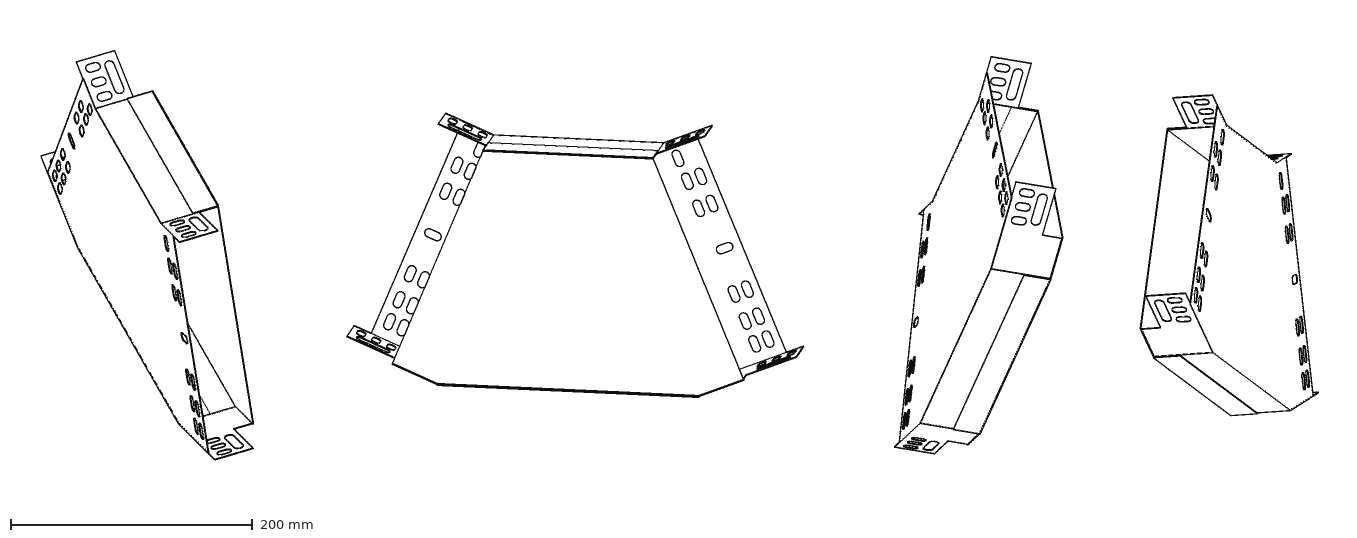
import cadquery as cq
import math

overall_width = 378.2
sheet = 0.8
mouth_tilt = math.radians(22.5)
mouth_length = 201.5
lower_flange = 70.0
upper_flange = 28.5
tab_reach = 15.5
tab_height = 34.5
lid_setback = 29.0
wall_setback = 30.3
depth = 52.0
lid_lip = 23.0

floor_slot_length = 14.5
floor_slot_width = 7.0
row_setbacks = (10.2, 22.5)
slot_offsets = (39.0, 63.5, 84.5)
cross_slot_setback = 14.7

tab_slot_length = 12.5
tab_slot_width = 7.0
tab_slot_start = 8.7
tab_slot_pitch = 13.5
tab_slot_count = 3
tab_slot_height = 11.7
long_slot_length = 30.3
long_slot_width = 8.0
long_slot_height = 25.7

tilt_sin = math.sin(mouth_tilt)
tilt_cos = math.cos(mouth_tilt)
tray_depth = depth - sheet
lower_half = overall_width / 2 - (lower_flange + tab_reach) * tilt_cos
mouth_low = (lower_half + lower_flange * tilt_cos, lower_flange * tilt_sin)
mouth_high = (mouth_low[0] - mouth_length * tilt_sin, mouth_low[1] + mouth_length * tilt_cos)
upper_half = mouth_high[0] - upper_flange * tilt_cos
upper_level = mouth_high[1] - upper_flange * tilt_sin
bend_shift = sheet * math.tan(mouth_tilt / 2)
cutter_depth = 4 * sheet
crosswise = 90


def along_flange(start, distance):
    """Point reached from start by going outward along a slanted wall on the +X side."""
    return (start[0] + distance * tilt_cos, start[1] + distance * tilt_sin)


def mirrored_outline(right_points):
    """Closed outline from its +X half, listed from low to high."""
    return right_points + [(-x, z) for x, z in reversed(right_points)]


def plate(points, y_start, thickness):
    """Extrude an XZ outline toward +Y from y_start."""
    return (
        cq.Workplane("XZ", origin=(0, y_start, 0))
        .polyline(points).close().extrude(-thickness)
    )


def straight_strip(half_width, y_start, height, z_start):
    """Flat strip of sheet spanning both sides of X = 0, rising from y_start toward +Y."""
    strip = cq.Workplane("XY").box(2 * half_width, height, sheet, centered=(True, False, False))
    return strip.translate((0, y_start, z_start))


def mirror_pair(cutter):
    """The cutter together with its mirror image across X = 0."""
    return cutter.union(cutter.mirror("YZ"))


def floor_plate():
    """Six-sided floor reaching the outer faces of both walls."""
    corners = [(lower_half, 0), mouth_low, mouth_high, (upper_half, upper_level)]
    return plate(mirrored_outline(corners), 0, sheet)


def lower_strip(reach, height):
    """Bent strip whose slanted ends run to reach beyond the open ends."""
    tip = along_flange(mouth_low, reach)
    inner_tip = (tip[0] - sheet * tilt_sin, tip[1] + sheet * tilt_cos)
    half = [(lower_half, 0), tip, inner_tip, (lower_half - bend_shift, sheet)]
    return plate(mirrored_outline(half), 0, height)


def lower_wall():
    """Lower wall: full depth under the lid, tab height beyond the ends of the lid."""
    return lower_strip(tab_reach, tab_height).union(lower_strip(-wall_setback, tray_depth))


def upper_wall():
    """Upper wall: full depth between its bends, tab height along its slanted ends."""
    tip = along_flange(mouth_high, tab_reach)
    inner_tip = (tip[0] + sheet * tilt_sin, tip[1] - sheet * tilt_cos)
    half = [(upper_half + bend_shift, upper_level - sheet), inner_tip, tip, (upper_half, upper_level)]
    bent_strip = plate(mirrored_outline(half), 0, tab_height)
    return bent_strip.union(straight_strip(upper_half, 0, tray_depth, upper_level - sheet))


def floor_slots():
    """Slots beside both open ends; the outer row lacks the slot nearest the upper wall."""
    middle = ((mouth_low[0] + mouth_high[0]) / 2, 0, (mouth_low[1] + mouth_high[1]) / 2)
    mouth_plane = cq.Plane(
        origin=middle, xDir=(-tilt_cos, 0, -tilt_sin), normal=(0, 1, 0)
    )
    offsets = [side * offset for side in (-1, 1) for offset in slot_offsets]
    places = [(setback, offset) for setback in row_setbacks for offset in offsets]
    places.remove((row_setbacks[0], slot_offsets[-1]))
    work = cq.Workplane(mouth_plane)
    slots = work.pushPoints(places).slot2D(floor_slot_length, floor_slot_width, crosswise).extrude(
        cutter_depth, both=True
    )
    cross_slot = (
        work.center(cross_slot_setback, 0)
        .slot2D(floor_slot_length, floor_slot_width).extrude(cutter_depth, both=True)
    )
    return mirror_pair(slots.union(cross_slot))


def tab_slots(mouth_corner):
    """One long slot above a row of short upright slots, on both tabs at this level."""
    tip = along_flange(mouth_corner, tab_reach)
    tab_plane = cq.Plane(
        origin=(tip[0], 0, tip[1]), xDir=(-tilt_cos, 0, -tilt_sin), normal=(tilt_sin, 0, -tilt_cos)
    )
    places = [(tab_slot_start + i * tab_slot_pitch, tab_slot_height) for i in range(tab_slot_count)]
    row_middle = tab_slot_start + (tab_slot_count - 1) / 2 * tab_slot_pitch
    work = cq.Workplane(tab_plane)
    short_slots = work.pushPoints(places).slot2D(tab_slot_length, tab_slot_width, crosswise).extrude(
        cutter_depth, both=True
    )
    long_slot = (
        work.center(row_middle, long_slot_height)
        .slot2D(long_slot_length, long_slot_width).extrude(cutter_depth, both=True)
    )
    return mirror_pair(short_slots.union(long_slot))


def make_tray():
    """Floor and walls as one bent sheet with all slots cut."""
    return (
        floor_plate()
        .union(lower_wall())
        .union(upper_wall())
        .cut(floor_slots())
        .cut(tab_slots(mouth_low))
        .cut(tab_slots(mouth_high))
    )


def lip(half_width, z_start):
    """Strip of lid edge lying against the outside of a straight wall."""
    return straight_strip(half_width, depth - lid_lip, lid_lip, z_start)


def make_lid():
    """Cover resting on the tray rims, with its lips hooked over the straight walls."""
    corners = [(lower_half, 0), along_flange(mouth_low, -lid_setback), (upper_half, upper_level)]
    cover = plate(mirrored_outline(corners), tray_depth, sheet)
    return cover.union(lip(lower_half, -sheet)).union(lip(upper_half, upper_level))


tray = make_tray()
lid = make_lid()

result = cq.Compound.makeCompound([tray.val(), lid.val()])